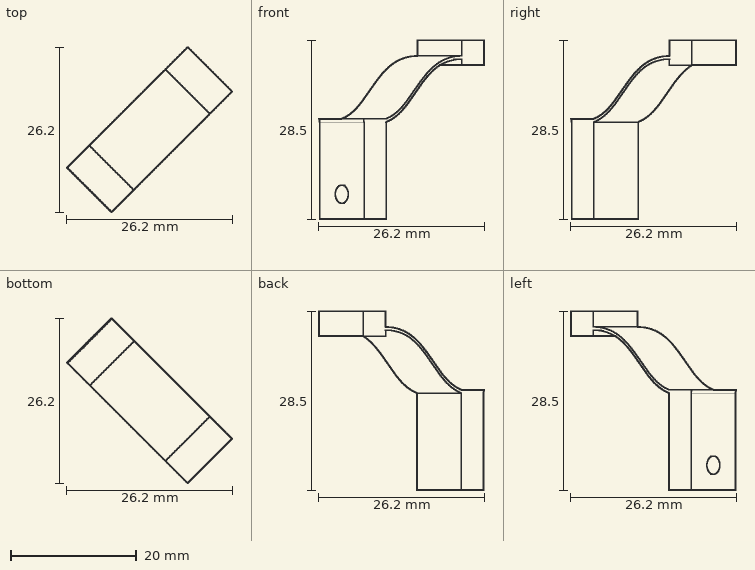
import cadquery as cq
import math

width = 10.0
length = 27.12
height = 28.45
turn_angle = 45.0

block_length = 5.0
foot_height = 15.95
head_height = 3.98
strip_drop = 2.5

strip_thickness = 0.5
start_angle = 15.0
foot_pull = 6.83
head_pull = 9.33
pull_change = 0.1

hole_diameter = 2.9
hole_depth = 3.0
hole_height = 3.98

lip_height = strip_thickness * math.cos(math.radians(start_angle))
lip_overhang = strip_thickness * math.sin(math.radians(start_angle))
strip_end = length - block_length
strip_top = height - strip_drop


def extrude_profile(profile):
    """Extrude a closed length-height profile over the width, centred on Y = 0."""
    return profile.close().extrude(width).translate((0, width / 2, 0))


def make_foot():
    profile = (
        cq.Workplane("XZ")
        .moveTo(lip_overhang, 0)
        .lineTo(lip_overhang + block_length, 0)
        .lineTo(lip_overhang + block_length, foot_height)
        .lineTo(0, foot_height)
        .lineTo(lip_overhang, foot_height - lip_height)
    )
    hole = (
        cq.Workplane("YZ", origin=(lip_overhang, 0, 0))
        .center(0, hole_height)
        .circle(hole_diameter / 2)
        .extrude(hole_depth)
    )
    return extrude_profile(profile).cut(hole)


def make_head():
    return (
        cq.Workplane("XY", origin=(strip_end, 0, height - head_height))
        .box(block_length, width, head_height, centered=(False, True, False))
    )


def make_strip():
    slope_x = math.cos(math.radians(start_angle))
    slope_z = math.sin(math.radians(start_angle))

    def s_curve(start, end, start_pull, end_pull):
        """Control points of a cubic curve that leaves the foot sloping and ends level."""
        return [
            start,
            (start[0] + start_pull * slope_x, start[1] + start_pull * slope_z),
            (end[0] - end_pull, end[1]),
            end,
        ]

    upper_face = s_curve(
        (block_length, foot_height),
        (strip_end, strip_top),
        foot_pull,
        head_pull,
    )
    lower_face = s_curve(
        (block_length + lip_overhang, foot_height - lip_height),
        (strip_end, strip_top - strip_thickness),
        foot_pull + pull_change,
        head_pull - pull_change,
    )
    profile = (
        cq.Workplane("XZ")
        .moveTo(*upper_face[0])
        .bezier(upper_face)
        .lineTo(*lower_face[-1])
        .bezier(lower_face[::-1])
    )
    return extrude_profile(profile)


result = (
    make_foot()
    .union(make_strip())
    .union(make_head())
    .translate((-length / 2, 0, 0))
    .rotate((0, 0, 0), (0, 0, 1), turn_angle)
)